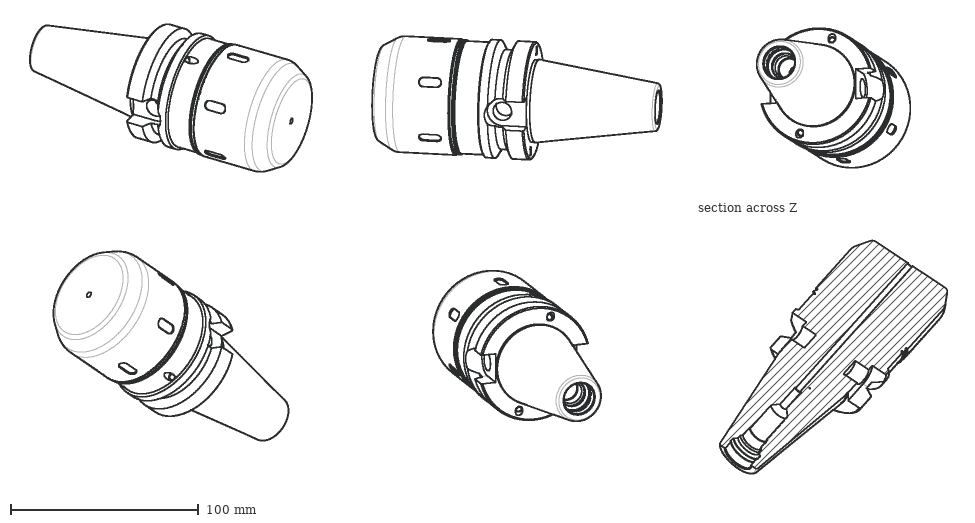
import cadquery as cq
import math


length = 150.4
gauge_x = 65.4
taper_end_radius = 25.4 / 2
taper_ratio = 7 / 24
taper_end_round = 1.2
neck_radius = 44.0 / 2

flange_x = 67.2
flange_radius = 63.0 / 2
flange_chamfer = 0.8
front_land_end_x = 76.9
groove_start_x = 79.4
groove_end_x = 83.6
groove_radius = 26.6
rear_land_start_x = 86.6
rear_land_end_x = 91.3

collar_x = 92.0
collar_radius = 30.1
seal_groove_x = 104.7
seal_groove_radius = 29.2
seal_ring_x = 105.3
seal_ring_end_x = 106.0
seal_ring_radius = 30.7
nut_land_radius = 30.4
nut_gap_x = 107.4
nut_gap_radius = 29.8
nut_x = 108.0

nut_radius = 31.0
nut_round_x = 138.0
nut_round_radius = 8.1
nut_cone_angle = math.radians(30)
nut_tip_round = 2.7

wrench_slot_count = 6
wrench_slot_length = 12.0
wrench_slot_width = 5.1
wrench_slot_center_x = 118.5
wrench_slot_floor_radius = 30.1

key_slot_width = 16.0
key_slot_end_x = 88.3
key_slot_floor_radius = 22.3
key_hole_x = 80.2
key_hole_diameter = 10.0
key_hole_depth = 9.0

bore_mouth_radius = 18.0 / 2
bore_entry_radius = 17.0 / 2
bore_entry_depth = 5.4
undercut_radius = 18.0 / 2
undercut_end_x = 7.8
thread_radius = 14.0 / 2
thread_end_x = 11.3
drill_radius = 12.0 / 2
drill_end_x = 18.0
core_radius = 11.0 / 2
core_end_x = 36.1
core_tip_angle = math.radians(45)
supply_radius = 4.0 / 2
supply_end_x = 52.6
through_radius = 3.0 / 2

duct_diameter = 3.0
duct_mouth_diameter = 4.0
duct_inlet_mouth_depth = 1.5
duct_outlet_mouth_depth = 2.9
duct_tilt = math.radians(29)
duct_azimuth = 19.5
duct_inlet_radius = 26.9
duct_outlet_x = 95.5


def make_body():
    taper_large_radius = taper_end_radius + gauge_x * taper_ratio / 2
    nut_round_end_x = nut_round_x + nut_round_radius * math.sin(nut_cone_angle)
    nut_round_center_r = nut_radius - nut_round_radius
    nut_round_end_r = nut_round_center_r + nut_round_radius * math.cos(nut_cone_angle)
    half_angle = nut_cone_angle / 2
    nut_round_middle = (
        nut_round_x + nut_round_radius * math.sin(half_angle),
        nut_round_center_r + nut_round_radius * math.cos(half_angle),
    )
    nut_tip_r = nut_round_end_r - (length - nut_round_end_x) * math.tan(nut_cone_angle)
    profile = (
        cq.Workplane("XY")
        .lineTo(0, taper_end_radius)
        .lineTo(gauge_x, taper_large_radius)
        .lineTo(gauge_x, neck_radius)
        .lineTo(flange_x, neck_radius)
        .lineTo(flange_x, flange_radius - flange_chamfer)
        .lineTo(flange_x + flange_chamfer, flange_radius)
        .lineTo(front_land_end_x, flange_radius)
        .lineTo(groove_start_x, groove_radius)
        .lineTo(groove_end_x, groove_radius)
        .lineTo(rear_land_start_x, flange_radius)
        .lineTo(rear_land_end_x, flange_radius)
        .lineTo(collar_x, collar_radius)
        .lineTo(seal_groove_x, collar_radius)
        .lineTo(seal_groove_x, seal_groove_radius)
        .lineTo(seal_ring_x, seal_groove_radius)
        .lineTo(seal_ring_x, seal_ring_radius)
        .lineTo(seal_ring_end_x, seal_ring_radius)
        .lineTo(seal_ring_end_x, nut_land_radius)
        .lineTo(nut_gap_x, nut_land_radius)
        .lineTo(nut_gap_x, nut_gap_radius)
        .lineTo(nut_x, nut_gap_radius)
        .lineTo(nut_x, nut_radius)
        .lineTo(nut_round_x, nut_radius)
        .threePointArc(nut_round_middle, (nut_round_end_x, nut_round_end_r))
        .lineTo(length, nut_tip_r)
        .lineTo(length, 0)
        .close()
    )
    body = profile.revolve(360, (0, 0, 0), (1, 0, 0))
    body = body.faces("<X").edges().fillet(taper_end_round)
    return body.faces(">X").edges().fillet(nut_tip_round)


def make_bore():
    mouth_step = bore_mouth_radius - bore_entry_radius
    thread_step = bore_entry_radius - thread_radius
    drill_step = thread_radius - drill_radius
    tip_length = (core_radius - supply_radius) / math.tan(core_tip_angle)
    profile = (
        cq.Workplane("XY")
        .lineTo(0, bore_mouth_radius)
        .lineTo(mouth_step, bore_entry_radius)
        .lineTo(bore_entry_depth, bore_entry_radius)
        .lineTo(bore_entry_depth, undercut_radius)
        .lineTo(undercut_end_x, undercut_radius)
        .lineTo(undercut_end_x, bore_entry_radius)
        .lineTo(undercut_end_x + thread_step, thread_radius)
        .lineTo(thread_end_x, thread_radius)
        .lineTo(thread_end_x + drill_step, drill_radius)
        .lineTo(drill_end_x, drill_radius)
        .lineTo(drill_end_x, core_radius)
        .lineTo(core_end_x, core_radius)
        .lineTo(core_end_x + tip_length, supply_radius)
        .lineTo(supply_end_x, supply_radius)
        .lineTo(supply_end_x, through_radius)
        .lineTo(length, through_radius)
        .lineTo(length, 0)
        .close()
    )
    return profile.revolve(360, (0, 0, 0), (1, 0, 0))


def make_key_slot():
    """Slot on the -Y side, open toward the taper and rounded at its far end."""
    round_center_x = key_slot_end_x - key_slot_width / 2
    depth = flange_radius - key_slot_floor_radius
    floor = cq.Workplane("XZ", origin=(0, -key_slot_floor_radius, 0))
    straight = (
        floor.center((flange_x + round_center_x) / 2, 0)
        .rect(round_center_x - flange_x, key_slot_width)
        .extrude(depth)
    )
    round_end = floor.center(round_center_x, 0).circle(key_slot_width / 2).extrude(depth)
    screw_hole = floor.center(key_hole_x, 0).circle(key_hole_diameter / 2).extrude(-key_hole_depth)
    return straight.union(round_end).union(screw_hole)


def make_wrench_slot():
    return (
        cq.Workplane("XY", origin=(wrench_slot_center_x, 0, wrench_slot_floor_radius))
        .slot2D(wrench_slot_length, wrench_slot_width)
        .extrude(nut_radius)
    )


def make_duct_leg(start, direction, leg_length, mouth_depth):
    """Duct leg running inward from start, with a wider mouth that overruns outside the part."""
    overrun = duct_mouth_diameter
    axis = cq.Vector(*direction)
    opening = cq.Vector(*start)
    outside = opening - axis * overrun
    mouth = cq.Solid.makeCylinder(duct_mouth_diameter / 2, overrun + mouth_depth, outside, axis)
    passage = cq.Solid.makeCylinder(duct_diameter / 2, leg_length, opening, axis)
    return cq.Workplane(mouth).union(cq.Workplane(passage))


def make_duct():
    """V-shaped duct in the XZ plane, turned to its place about the X axis."""
    slope = math.tan(duct_tilt)
    span = duct_outlet_x - flange_x
    inlet_run = (span - (collar_radius - duct_inlet_radius) / slope) / 2
    outlet_run = span - inlet_run
    inward = -math.sin(duct_tilt)
    along = math.cos(duct_tilt)
    inlet = make_duct_leg(
        (flange_x, 0, duct_inlet_radius), (along, 0, inward), inlet_run / along, duct_inlet_mouth_depth
    )
    outlet = make_duct_leg(
        (duct_outlet_x, 0, collar_radius), (-along, 0, inward), outlet_run / along, duct_outlet_mouth_depth
    )
    duct = inlet.union(outlet)
    return duct.rotate((0, 0, 0), (1, 0, 0), duct_azimuth)


def turned(tool, angle):
    return tool.rotate((0, 0, 0), (1, 0, 0), angle)


result = make_body().cut(make_bore())

for angle in (0, 180):
    result = result.cut(turned(make_key_slot(), angle))
    result = result.cut(turned(make_duct(), angle))

for index in range(wrench_slot_count):
    result = result.cut(turned(make_wrench_slot(), index * 360 / wrench_slot_count))